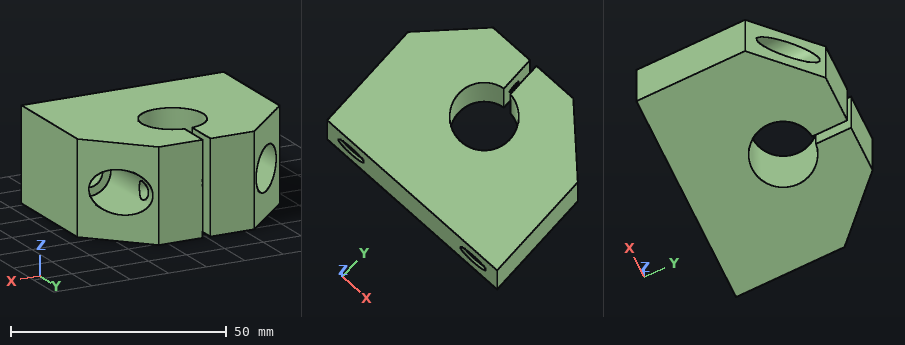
import cadquery as cq

width = 53.0
depth = 42.0
height = 24.0
corner_cut = 14.0
mid_height = height / 2

bore_diameter = 16.0
bore_y = 25.0
slot_width = 2.0

mount_spacing = 38.0
mount_diameter = 6.65
mount_mouth_diameter = 8.0
mount_mouth_depth = (mount_mouth_diameter - mount_diameter) / 2
head_diameter = 11.0
head_seat_y = 20.0

clamp_y = 36.5
clamp_tap_diameter = 3.24
clamp_clearance_diameter = 4.5


def cylinder_along_y(diameter, x, y_start, y_end):
    """Solid cylinder parallel to Y at mid height."""
    start = cq.Vector(x, y_start, mid_height)
    return cq.Workplane(cq.Solid.makeCylinder(diameter / 2, y_end - y_start, start, cq.Vector(0, 1, 0)))


def cylinder_along_x(diameter, x_start, x_end):
    """Solid cylinder parallel to X on the clamp screw axis."""
    start = cq.Vector(x_start, clamp_y, mid_height)
    return cq.Workplane(cq.Solid.makeCylinder(diameter / 2, x_end - x_start, start, cq.Vector(1, 0, 0)))


def block():
    """Rectangular block with its two back corners cut off."""
    body = cq.Workplane("XY").box(width, depth, height, centered=(True, False, False))
    return body.edges("|Z and >Y").chamfer(corner_cut)


def shaft_opening():
    """Shaft bore joined to the slot that runs out through the back face."""
    bore = cq.Workplane("XY").center(0, bore_y).circle(bore_diameter / 2).extrude(height)
    slot_length = depth - bore_y
    slot = (
        cq.Workplane("XY")
        .center(0, bore_y + slot_length / 2)
        .rect(slot_width, slot_length)
        .extrude(height)
    )
    return bore.union(slot)


def mounting_hole(x):
    """Through hole with a conical mouth at the base and a screw head counterbore at the back."""
    hole = cylinder_along_y(mount_diameter, x, 0, depth)
    head = cylinder_along_y(head_diameter, x, head_seat_y, depth)
    mouth = cq.Solid.makeCone(
        mount_mouth_diameter / 2,
        mount_diameter / 2,
        mount_mouth_depth,
        cq.Vector(x, 0, mid_height),
        cq.Vector(0, 1, 0),
    )
    return hole.union(head).union(cq.Workplane(mouth))


def clamp_hole():
    """Screw hole across both jaws, smaller on the tapped side."""
    tapped = cylinder_along_x(clamp_tap_diameter, -width / 2, 0)
    clearance = cylinder_along_x(clamp_clearance_diameter, 0, width / 2)
    return tapped.union(clearance)


result = block().cut(shaft_opening()).cut(clamp_hole())
for side in (-1, 1):
    result = result.cut(mounting_hole(side * mount_spacing / 2))